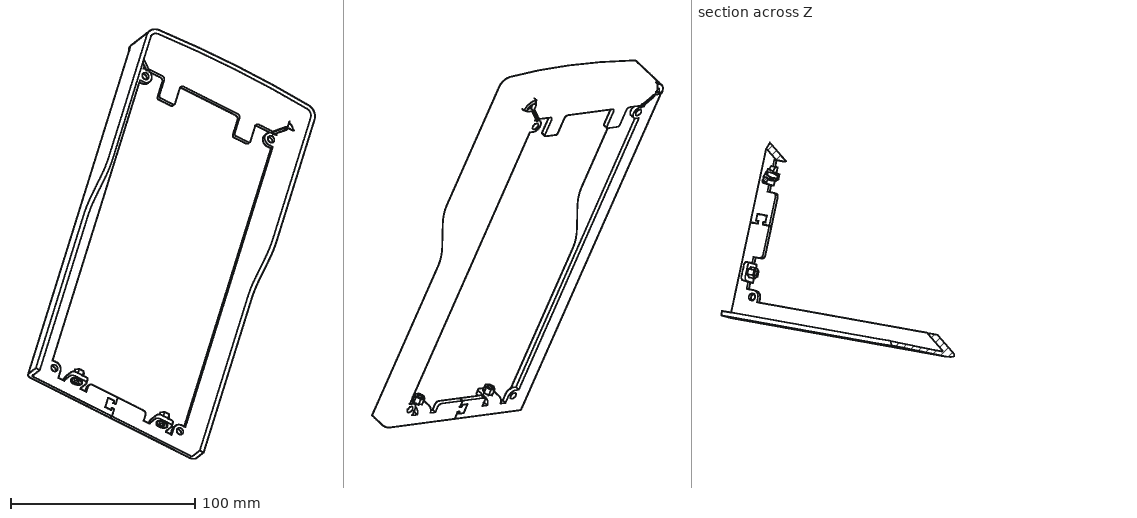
import cadquery as cq
import math


ROLL_ABOUT_Y = 33.0
PITCH_ABOUT_X = 20.0

SHEET = 2.5
BEND_INNER = 0.5
BEND_OUTER = BEND_INNER + SHEET
WIDTH = 106.2
LENGTH = 218.3
CORNER_OUTER = 6.4
CORNER_FOOT = 1.1

LOW_HEIGHT = 12.0
HIGH_HEIGHT = 23.4
CROWN_RISE = 3.0
STEP_START = 106.0
STEP_END = 126.9
STEP_BLEND = 22.7

SIDE_STRIP = 11.1
TOP_STRIP = 12.7
RELIEF_Y = 6.5
HALF_OPENING = WIDTH / 2 - SIDE_STRIP
OPENING_TOP = LENGTH - TOP_STRIP
BRIDGE_TOP = 12.3
BRIDGE_HALF = 18.2
BRIDGE_FILLET = 2.0

SLIT_WIDTH = 1.5
SLIT_LENGTH = 10.2
SLIT_ANGLE = 45.0

TAB_X = 23.8
TAB_WIDTH = 10.0
TAB_END = 192.7
TAB_ROOT_FILLET = 1.8
TAB_TIP_FILLET = 1.1

LUG_X = 39.7
LUG_LOW_Y = 11.0
LUG_HIGH_Y = 200.9
LUG_RADIUS = 3.9
LUG_HOLE_RADIUS = 1.93

JOINT_GAP = 0.14
KEY_Y = 6.4
KEY_NECK_LENGTH = 1.5
KEY_NECK_WIDTH = 3.2
KEY_HEAD_LENGTH = 3.6
KEY_HEAD_WIDTH = 6.0

NUT_X = 27.0
NUT_Z = 7.3
NUT_TAB_WIDTH = 10.2
NUT_TAB_HEIGHT = 11.3
NUT_TAB_FACE_Y = RELIEF_Y + BEND_OUTER
NUT_TAB_FILLET = 2.3
NUT_FLATS = 5.0
NUT_STANDOUT = 3.6
NUT_FLANGE_RADIUS = 3.2
NUT_FLANGE_THICKNESS = 0.57
NUT_BORE_RADIUS = 1.25

SIDES = (-1, 1)
SELECT_MARGIN = 0.2


def block(x0, x1, y0, y1, z0, z1):
    """Box between two opposite corners."""
    return cq.Workplane("XY").box(x1 - x0, y1 - y0, z1 - z0, centered=False).translate((x0, y0, z0))


def plate_block(x0, x1, y0, y1):
    """Flat piece of sheet lying in the plate."""
    return block(x0, x1, y0, y1, 0, SHEET)


def tray():
    """Plate with bent flanges on both sides and the top, open at the bottom end."""
    height = HIGH_HEIGHT + CROWN_RISE
    outer = block(-WIDTH / 2, WIDTH / 2, 0, LENGTH, 0, height)
    outer = outer.edges("|Z and >Y").fillet(CORNER_OUTER)
    outer = outer.faces("<Z").edges("not <Y").fillet(BEND_OUTER)
    inner = block(SHEET - WIDTH / 2, WIDTH / 2 - SHEET, -SHEET, LENGTH - SHEET, SHEET, height + SHEET)
    inner = inner.edges("|Z and >Y").fillet(CORNER_OUTER - SHEET)
    inner = inner.faces("<Z").edges("not <Y").fillet(BEND_INNER)
    return outer.cut(inner)


def flange_limit():
    """Solid that trims the flanges: stepped along the sides, crowned along the top."""
    side = (
        cq.Workplane("YZ")
        .polyline([
            (0, 0), (LENGTH, 0), (LENGTH, HIGH_HEIGHT),
            (STEP_END, HIGH_HEIGHT), (STEP_START, LOW_HEIGHT), (0, LOW_HEIGHT),
        ])
        .close()
        .extrude(WIDTH / 2, both=True)
    )
    step_zone = cq.selectors.BoxSelector(
        (-WIDTH, STEP_START - SELECT_MARGIN, LOW_HEIGHT - SELECT_MARGIN),
        (WIDTH, STEP_END + SELECT_MARGIN, HIGH_HEIGHT + SELECT_MARGIN),
    )
    side = side.edges("|X").edges(step_zone).fillet(STEP_BLEND)
    crown_half = WIDTH / 2 - CORNER_OUTER
    crown = (
        cq.Workplane("XZ", origin=(0, LENGTH, 0))
        .moveTo(-crown_half, HIGH_HEIGHT - SHEET)
        .lineTo(-crown_half, HIGH_HEIGHT)
        .threePointArc((0, HIGH_HEIGHT + CROWN_RISE), (crown_half, HIGH_HEIGHT))
        .lineTo(crown_half, HIGH_HEIGHT - SHEET)
        .close()
        .extrude(CORNER_OUTER)
    )
    return side.union(crown)


def lug(side, y):
    """Round screw lug joined to the side strip."""
    disc = cq.Workplane("XY").center(side * LUG_X, y).circle(LUG_RADIUS).extrude(SHEET)
    x0, x1 = sorted((side * LUG_X, side * (HALF_OPENING + SHEET)))
    return disc.union(plate_block(x0, x1, y - LUG_RADIUS, y + LUG_RADIUS))


def opening():
    """Material removed from inside the plate, leaving its lugs and bridge."""
    window = plate_block(-HALF_OPENING, HALF_OPENING, RELIEF_Y, OPENING_TOP)
    bridge = plate_block(-BRIDGE_HALF, BRIDGE_HALF, 0, BRIDGE_TOP)
    window = window.cut(bridge.edges("|Z and >Y").fillet(BRIDGE_FILLET))
    for side in SIDES:
        tab_left = side * TAB_X - TAB_WIDTH / 2
        tab = plate_block(tab_left, tab_left + TAB_WIDTH, TAB_END, OPENING_TOP)
        window = window.cut(tab.edges("|Z and <Y").fillet(TAB_TIP_FILLET))
        window = window.cut(lug(side, LUG_LOW_Y)).cut(lug(side, LUG_HIGH_Y))
        x0, x1 = sorted((side * (LUG_X - LUG_RADIUS), side * HALF_OPENING))
        window = window.cut(plate_block(x0, x1, RELIEF_Y, LUG_LOW_Y))
    root_zone = cq.selectors.BoxSelector(
        (-TAB_X - TAB_WIDTH, OPENING_TOP - SELECT_MARGIN, -SELECT_MARGIN),
        (TAB_X + TAB_WIDTH, OPENING_TOP + SELECT_MARGIN, SHEET + SELECT_MARGIN),
    )
    return window.edges("|Z").edges(root_zone).fillet(TAB_ROOT_FILLET)


def corner_cell(side, z0, z1):
    """Square column inside which one upper corner is rounded."""
    x0, x1 = sorted((side * (WIDTH / 2 - CORNER_OUTER), side * WIDTH / 2))
    return block(x0, x1, LENGTH - CORNER_OUTER, LENGTH, z0, z1)


def corner_foot(side):
    """Rounded corner wall carried down past the bends."""
    centre = (side * (WIDTH / 2 - CORNER_OUTER), LENGTH - CORNER_OUTER)
    ring = (
        cq.Workplane("XY", origin=(0, 0, CORNER_FOOT))
        .center(*centre)
        .circle(CORNER_OUTER)
        .circle(CORNER_OUTER - SHEET)
        .extrude(BEND_OUTER - CORNER_FOOT)
    )
    return ring.intersect(corner_cell(side, 0, BEND_OUTER))


def mitre_slit(side):
    """Diagonal gap between the side strip and the top strip."""
    corner_x = side * (WIDTH / 2 - CORNER_OUTER)
    corner_y = LENGTH - CORNER_OUTER
    slit = (
        cq.Workplane("XY")
        .rect(SLIT_WIDTH, 2 * SLIT_LENGTH)
        .extrude(SHEET)
        .rotate((0, 0, 0), (0, 0, 1), -SLIT_ANGLE * side)
        .translate((corner_x, corner_y, 0))
    )
    return slit.intersect(plate_block(-abs(corner_x), abs(corner_x), 0, corner_y))


def keyed_half(grow):
    """Right half of the bottom strip with its T-shaped key, enlarged by a margin."""
    neck = KEY_NECK_WIDTH / 2 + grow
    head = KEY_HEAD_WIDTH / 2 + grow
    neck_end = -KEY_NECK_LENGTH
    head_end = neck_end - KEY_HEAD_LENGTH - grow
    half = plate_block(-grow, BRIDGE_HALF, -grow, BRIDGE_TOP + grow)
    half = half.union(plate_block(neck_end, 0, KEY_Y - neck, KEY_Y + neck))
    return half.union(plate_block(head_end, neck_end + grow, KEY_Y - head, KEY_Y + head))


def nut_tab(side):
    """Tab bent up from the bottom strip."""
    tab = (
        cq.Workplane("YZ")
        .moveTo(RELIEF_Y - SHEET, 0)
        .lineTo(RELIEF_Y, 0)
        .radiusArc((NUT_TAB_FACE_Y, BEND_OUTER), -BEND_OUTER)
        .lineTo(NUT_TAB_FACE_Y, NUT_TAB_HEIGHT)
        .lineTo(NUT_TAB_FACE_Y - SHEET, NUT_TAB_HEIGHT)
        .lineTo(NUT_TAB_FACE_Y - SHEET, BEND_OUTER)
        .radiusArc((RELIEF_Y, SHEET), BEND_INNER)
        .lineTo(RELIEF_Y - SHEET, SHEET)
        .close()
        .extrude(NUT_TAB_WIDTH / 2, both=True)
    )
    return tab.edges("|Y and >Z").fillet(NUT_TAB_FILLET).translate((side * NUT_X, 0, 0))


def hexagon(side):
    """Hexagonal prism of a nut, reaching from the tab's inner face."""
    return (
        cq.Workplane("XZ", origin=(side * NUT_X, NUT_TAB_FACE_Y - SHEET, NUT_Z))
        .polygon(6, NUT_FLATS / math.cos(math.pi / 6))
        .extrude(-SHEET - NUT_STANDOUT)
    )


def make_nut(side):
    """Hexagonal nut body with a round flange resting on the tab's inner face."""
    face = cq.Workplane("XZ", origin=(side * NUT_X, NUT_TAB_FACE_Y - SHEET, NUT_Z))
    flange = face.circle(NUT_FLANGE_RADIUS).extrude(NUT_FLANGE_THICKNESS)
    bore = face.circle(NUT_BORE_RADIUS).extrude(2 * NUT_TAB_FACE_Y, both=True)
    return hexagon(side).union(flange).cut(bore)


def joint_gap():
    """Thin gap that follows the key and separates the halves of the bottom strip."""
    return keyed_half(JOINT_GAP).cut(keyed_half(0))


def lug_hole(side, y):
    """Screw hole through one lug."""
    return cq.Workplane("XY").center(side * LUG_X, y).circle(LUG_HOLE_RADIUS).extrude(SHEET)


def make_frame():
    """Bent sheet frame with its opening, corner cuts, lugs and nut tabs."""
    frame = tray().intersect(flange_limit()).cut(opening())
    frame = frame.cut(joint_gap())
    for side in SIDES:
        frame = frame.cut(corner_cell(side, 0, BEND_OUTER)).union(corner_foot(side))
        frame = frame.cut(mitre_slit(side))
        for y in (LUG_LOW_Y, LUG_HIGH_Y):
            frame = frame.cut(lug_hole(side, y))
        frame = frame.union(nut_tab(side)).cut(hexagon(side))
    return frame


def tilted(body):
    """Body turned into the frame's final tilted position."""
    rolled = body.rotate((0, 0, 0), (0, 1, 0), ROLL_ABOUT_Y)
    return rolled.rotate((0, 0, 0), (1, 0, 0), PITCH_ABOUT_X)


frame = tilted(make_frame())
nuts = [tilted(make_nut(side)) for side in SIDES]

result = cq.Compound.makeCompound([frame.solids().val(), *[nut.solids().val() for nut in nuts]])